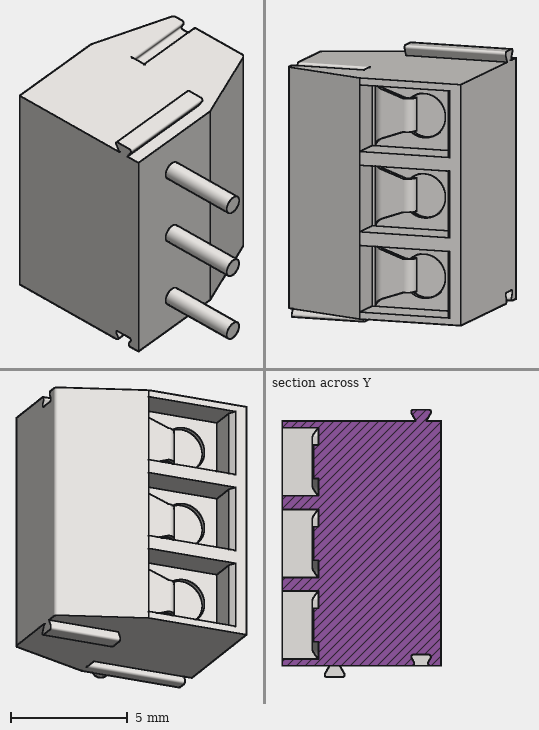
import cadquery as cq
import math


pole_count = 3
pitch = 3.5
body_width = 6.81
body_depth = 8.4
overall_height = 11.46
body_height = 10.5
shoulder_y = 4.62
slope_inset = 1.39
crest_radius = 0.2
body_top = body_height / 2
body_bottom = -body_top

pin_diameter = 0.8
pin_length = 3.5
pin_y = 2.15

pocket_height = 2.9
pocket_depth = 1.55
pocket_wall_y = 0.69
pocket_chamfer_width = 0.18
pocket_chamfer_angle = math.radians(60)
pocket_chamfer_depth = pocket_chamfer_width * math.tan(pocket_chamfer_angle)

recess_radius = 0.96
recess_y = 2.23
recess_floor = 1.79

leaf_face = 1.3
leaf_tip_y = 2.67
leaf_bend_radius = 0.41
leaf_root_y = 4.48
leaf_tip_half_width = 0.72
leaf_root_half_width = 1.08

dovetail_flank = math.radians(60)
rail_height = (overall_height - body_height) / 2
rail_half_neck = 0.23
rail_corner_radius = 0.1
slot_depth = 0.48
slot_half_neck = 0.21
slot_mouth_radius = 0.11
slot_floor_radius = 0.09
lower_dovetail_x = 5.95
upper_dovetail_x = 2.25
upper_dovetail_length = 3.28

pole_heights = [(i - (pole_count - 1) / 2) * pitch for i in range(pole_count)]


def make_body():
    """Prismatic housing with two sloped sides and a rounded crest."""
    return (
        cq.Workplane("XY", origin=(0, 0, body_bottom))
        .moveTo(0, 0)
        .lineTo(body_width, 0)
        .lineTo(body_width, shoulder_y)
        .lineTo(body_width - slope_inset, body_depth)
        .lineTo(slope_inset, body_depth)
        .lineTo(0, shoulder_y)
        .close()
        .extrude(body_height)
        .edges("|Z and >Y")
        .fillet(crest_radius)
    )


def make_pin(z):
    return (
        cq.Workplane("YZ", origin=(body_width, pin_y, z))
        .circle(pin_diameter / 2)
        .extrude(pin_length)
    )


def make_pocket(z):
    """Cutter for one wire pocket together with its round recess."""
    pocket = (
        cq.Workplane("XY", origin=(0, 0, z))
        .polyline([
            (0, pocket_wall_y - pocket_chamfer_width),
            (pocket_chamfer_depth, pocket_wall_y),
            (pocket_depth, pocket_wall_y),
            (pocket_depth, shoulder_y),
            (0, shoulder_y),
        ])
        .close()
        .extrude(pocket_height / 2, both=True)
    )
    recess = (
        cq.Workplane("YZ", origin=(pocket_depth, recess_y, z))
        .circle(recess_radius)
        .extrude(recess_floor - pocket_depth)
    )
    return pocket.union(recess)


def make_leaf(z):
    """Clamp leaf: a bent side profile trimmed to a flared plan outline."""
    half_pocket = pocket_height / 2
    tip_bend_y = leaf_tip_y + leaf_bend_radius
    root_angle = math.acos(1 - (pocket_depth - leaf_face) / leaf_bend_radius)
    root_bend_y = leaf_root_y - leaf_bend_radius * math.sin(root_angle)

    profile = (
        cq.Workplane("XY", origin=(0, 0, z))
        .moveTo(recess_floor, leaf_tip_y)
        .lineTo(leaf_face + leaf_bend_radius, leaf_tip_y)
        .tangentArcPoint((leaf_face, tip_bend_y), relative=False)
        .lineTo(leaf_face, root_bend_y)
        .tangentArcPoint((pocket_depth, leaf_root_y), relative=False)
        .lineTo(recess_floor, leaf_root_y)
        .close()
        .extrude(half_pocket, both=True)
    )
    outline = (
        cq.Workplane("YZ", origin=(leaf_face, 0, z))
        .moveTo(leaf_tip_y, 0)
        .lineTo(leaf_tip_y, leaf_tip_half_width)
        .lineTo(tip_bend_y, leaf_tip_half_width)
        .lineTo(root_bend_y, leaf_root_half_width)
        .tangentArcPoint((leaf_root_y, half_pocket), relative=False)
        .lineTo(leaf_root_y, 0)
        .mirrorX()
        .extrude(recess_floor - leaf_face)
    )
    return profile.intersect(outline)


def dovetail_prism(x, y_end, length, base_z, height, half_neck):
    """Sharp dovetail growing from base_z; a negative height points it down."""
    half_head = half_neck + abs(height) / math.tan(dovetail_flank)
    return (
        cq.Workplane("XZ", origin=(x, y_end, base_z))
        .polyline([
            (-half_neck, 0),
            (half_neck, 0),
            (half_head, height),
            (-half_head, height),
        ])
        .close()
        .extrude(length)
    )


def make_rail(x, y_end, length, base_z, height):
    rail = dovetail_prism(x, y_end, length, base_z, height, rail_half_neck)
    head = ">Z" if height > 0 else "<Z"
    return rail.faces(head).edges("|Y").fillet(rail_corner_radius)


def make_slot(x, y_end, length, base_z, depth):
    """Cutter for a blind dovetail slot with a rounded mouth."""
    slot = dovetail_prism(x, y_end, length, base_z, depth, slot_half_neck)
    floor = ">Z" if depth > 0 else "<Z"
    slot = slot.faces(floor).edges("|Y").fillet(slot_floor_radius)
    slab_half_width = slot_half_neck + 2 * slot_mouth_radius
    slab = (
        cq.Workplane("XZ", origin=(x, y_end, base_z))
        .moveTo(-slab_half_width, 0)
        .lineTo(slab_half_width, 0)
        .lineTo(slab_half_width, -depth)
        .lineTo(-slab_half_width, -depth)
        .close()
        .extrude(length)
    )
    margin = 0.01
    mouth_corners = cq.selectors.BoxSelector(
        (x - slot_half_neck - margin, y_end - length, base_z - margin),
        (x + slot_half_neck + margin, y_end, base_z + margin),
    )
    return slot.union(slab).edges("|Y").edges(mouth_corners).fillet(slot_mouth_radius)


result = make_body()

for pole_z in pole_heights:
    result = result.cut(make_pocket(pole_z))
    result = result.union(make_leaf(pole_z))
    result = result.union(make_pin(pole_z))

result = result.cut(
    make_slot(lower_dovetail_x, shoulder_y, shoulder_y, body_bottom, slot_depth)
)
result = result.cut(
    make_slot(upper_dovetail_x, body_depth, upper_dovetail_length, body_top, -slot_depth)
)
result = result.union(
    make_rail(lower_dovetail_x, shoulder_y, shoulder_y, body_top, rail_height)
)
result = result.union(
    make_rail(upper_dovetail_x, body_depth, upper_dovetail_length, body_bottom, -rail_height)
)